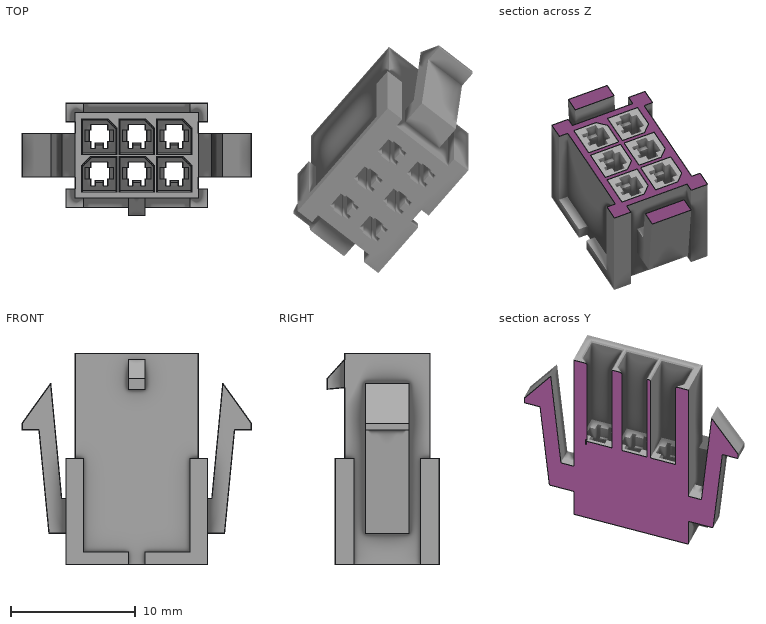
import cadquery as cq
import math

overall_x = 18.35
overall_y = 9.0

columns = 3
rows = 2
pitch = 3.0
cell_size = 2.85
outer_wall = 0.5

body_x = (columns - 1) * pitch + cell_size + 2 * outer_wall
body_y = (rows - 1) * pitch + cell_size + 2 * outer_wall
body_height = 16.9

pocket_depth = 8.5
pocket_floor = body_height - pocket_depth
corner_cut = 0.75
rim_chamfer = 0.1
passage_x = 1.35
passage_y = 1.9
slot_x = 2.25
slot_y = 0.9
slot_offset = 0.07
ledge_gap = 1.6
tongue_width = 0.65
tongue_high_reach = 0.26
tongue_low_reach = 0.45
step_depth = 1.0
step_z = pocket_floor - step_depth

collar_thickness = 0.75
collar_x = body_x + 2 * collar_thickness
collar_y = body_y + 2 * collar_thickness
leg_x = 1.4
leg_y = 1.5
leg_height = 8.5
rail_height = 1.0

peg_width = 1.35
peg_reach = overall_y - (body_y + collar_y) / 2
peg_top_drop = 0.5
peg_nose_drop = 2.03
peg_root_drop = 2.75
peg_tip_drop = 2.88

latch_width = 3.5
latch_tip_x = overall_x / 2
latch_peak_x = 6.88
latch_peak_z = 14.5
latch_nose_z = 11.3
latch_barb_z = 10.78
latch_neck_x = 7.83
latch_heel_x = 7.03
latch_heel_z = 2.5
latch_crotch_x = 6.0
latch_crotch_z = 5.3


def box(x_size, y_size, z_low, z_high, x=0.0, y=0.0):
    """Upright block centred at (x, y), between two heights."""
    block = cq.Workplane("XY").box(x_size, y_size, z_high - z_low, centered=(True, True, False))
    return block.translate((x, y, z_low))


def make_legs_and_rails():
    """Four corner legs joined by a whole back rail and a split front rail."""
    frame = box(collar_x, collar_y, 0, rail_height)
    frame = frame.cut(box(collar_x, body_y, 0, rail_height))
    frame = frame.cut(box(peg_width, collar_thickness, 0, rail_height, y=-(body_y + collar_thickness) / 2))
    for side_x in (-1, 1):
        for side_y in (-1, 1):
            x = side_x * (collar_x - leg_x) / 2
            y = side_y * (collar_y - leg_y) / 2
            frame = frame.union(box(leg_x, leg_y, 0, leg_height, x, y))
    return frame


def make_latch():
    """Barbed spring latch on the +X side."""
    outline = [
        (body_x / 2, latch_heel_z),
        (latch_heel_x, latch_heel_z),
        (latch_neck_x, latch_barb_z),
        (latch_tip_x, latch_barb_z),
        (latch_tip_x, latch_nose_z),
        (latch_peak_x, latch_peak_z),
        (latch_crotch_x, latch_crotch_z),
        (body_x / 2, latch_crotch_z),
    ]
    return cq.Workplane("XZ").polyline(outline).close().extrude(latch_width / 2, both=True)


def make_peg():
    """Ramped peg near the top of the -Y face."""
    face_y = -body_y / 2
    tip_y = face_y - peg_reach
    outline = [
        (face_y, body_height - peg_top_drop),
        (tip_y, body_height - peg_nose_drop),
        (tip_y, body_height - peg_tip_drop),
        (face_y, body_height - peg_root_drop),
    ]
    return cq.Workplane("YZ").polyline(outline).close().extrude(peg_width / 2, both=True)


def cell_outline(z, inset, cut_side):
    """Square with one +Y corner cut off; cut_side is +1 for the +X corner, -1 for the -X corner."""
    half = cell_size / 2 - inset
    cut = corner_cut - inset * (2 - math.sqrt(2))
    points = [
        (-cut_side * half, -half),
        (cut_side * half, -half),
        (cut_side * half, half - cut),
        (cut_side * (half - cut), half),
        (-cut_side * half, half),
    ]
    return cq.Workplane("XY").workplane(offset=z).polyline(points).close()


def make_pocket(cut_side):
    """Upper pocket of a cavity with its flared rim."""
    pocket = cell_outline(pocket_floor, rim_chamfer, cut_side).extrude(pocket_depth)
    lower = cell_outline(body_height - rim_chamfer, rim_chamfer, cut_side).wires().val()
    upper = cell_outline(body_height, 0, cut_side).wires().val()
    rim = cq.Solid.makeLoft([lower, upper], True)
    return pocket.union(cq.Workplane(obj=rim))


def make_passage():
    """Lower contact passage with side ledges and a stepped tongue."""
    passage = box(passage_x, passage_y, 0, pocket_floor)
    passage = passage.union(box(ledge_gap, slot_y, 0, pocket_floor, y=slot_offset))
    passage = passage.union(box(slot_x, slot_y, step_z, pocket_floor, y=slot_offset))
    tongue_base = -passage_y / 2
    high_y = tongue_base + tongue_high_reach / 2
    low_y = tongue_base + tongue_low_reach / 2
    tongue = box(tongue_width, tongue_high_reach, 0, pocket_floor, y=high_y)
    tongue = tongue.union(box(tongue_width, tongue_low_reach, 0, step_z, y=low_y))
    return passage.cut(tongue)


def cut_cavities(housing):
    """Cut the grid of cavities; the -X, -Y cavity is keyed on the opposite corner."""
    passage = make_passage()
    for column in range(columns):
        for row in range(rows):
            keyed = column == 0 and row == 0
            cut_side = -1 if keyed else 1
            x = (column - (columns - 1) / 2) * pitch
            y = (row - (rows - 1) / 2) * pitch
            cavity = make_pocket(cut_side).union(passage)
            housing = housing.cut(cavity.translate((x, y, 0)))
    return housing


latch = make_latch()
housing = box(body_x, body_y, 0, body_height)
housing = housing.union(make_legs_and_rails())
housing = housing.union(latch).union(latch.mirror("YZ"))
housing = housing.union(make_peg())
result = cut_cavities(housing)